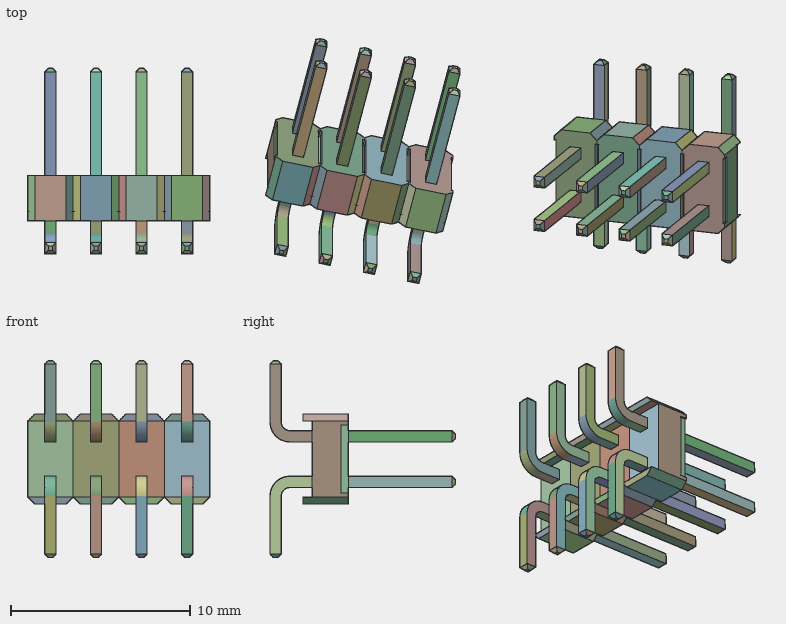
import cadquery as cq

pitch = 2.54
module_count = 4

housing_height = 5.04
flange_thickness = 0.4
flange_depth = pitch
block_depth = 2.02
rear_y = flange_depth / 2
block_front_y = rear_y - block_depth

recess_height = 3.78
recess_depth = 0.4
recess_inset = 0.1

pin_width = 0.64
pin_tip_taper = 0.2
pin_rear_length = 5.98
pin_front_length = 1.84
bend_radius = 0.8
overall_height = 11.0

pin_rear_y = rear_y + pin_rear_length
pin_leg_y = rear_y - flange_depth - pin_front_length + pin_width / 2
pin_row_z = pitch / 2
pin_end_z = overall_height / 2


def make_housing():
    """Block with a corner-cut flange above and below, centred on X = 0."""
    housing = (
        cq.Workplane("XZ", origin=(0, rear_y, 0))
        .rect(pitch, housing_height)
        .extrude(flange_depth)
        .edges("|Y")
        .chamfer(flange_thickness)
    )
    block_height = housing_height - 2 * flange_thickness
    front_gap = cq.Workplane("XZ", origin=(0, block_front_y, 0)).rect(pitch, block_height)
    housing = housing.cut(front_gap.extrude(flange_depth - block_depth))

    for side in (-1, 1):
        recess = cq.Workplane("XY").box(2 * recess_inset, 2 * recess_depth, recess_height)
        housing = housing.cut(recess.translate((side * pitch / 2, rear_y, 0)))
    return housing


def make_upper_pin():
    """Straight rear tail along Y, then a rounded bend into an upward leg."""
    path = (
        cq.Workplane("YZ")
        .moveTo(pin_rear_y, pin_row_z)
        .lineTo(pin_leg_y + bend_radius, pin_row_z)
        .radiusArc((pin_leg_y, pin_row_z + bend_radius), bend_radius)
        .lineTo(pin_leg_y, pin_end_z)
    )
    pin = (
        cq.Workplane("XZ", origin=(0, pin_rear_y, pin_row_z))
        .rect(pin_width, pin_width)
        .sweep(path)
    )
    return pin.faces(">Y").chamfer(pin_tip_taper).faces(">Z").chamfer(pin_tip_taper)


def make_module():
    """One header module: housing and its two mirrored pins as a single solid."""
    upper_pin = make_upper_pin()
    lower_pin = upper_pin.mirror("XY")
    return make_housing().union(upper_pin).union(lower_pin)


module = make_module()
row_start_x = -(module_count - 1) * pitch / 2
modules = [module.translate((row_start_x + i * pitch, 0, 0)) for i in range(module_count)]

result = cq.Compound.makeCompound([m.val() for m in modules])